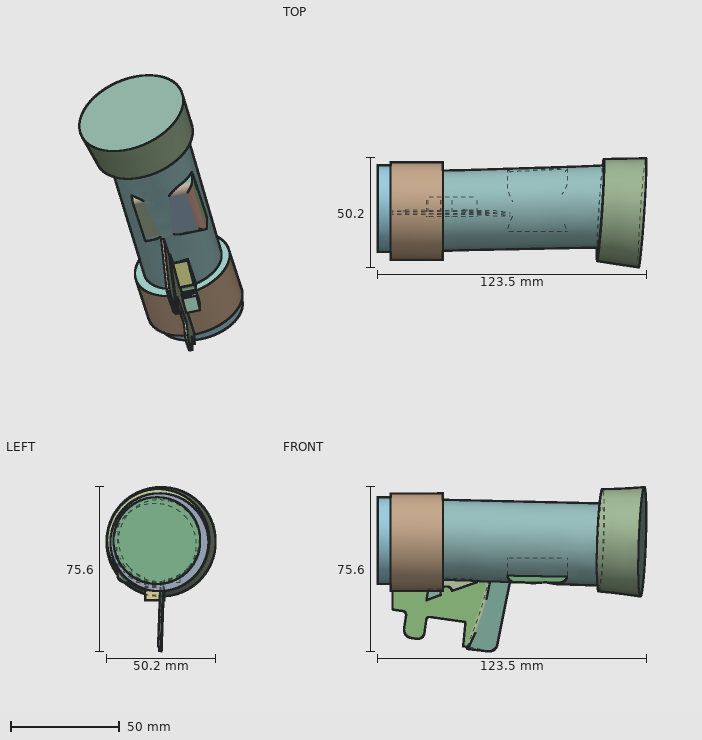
import cadquery as cq
import math

eyepiece_diameter = 39.9
eyepiece_length = 6.0

collar_diameter = 45.0
collar_length = 24.0
collar_offset_y = -1.15
collar_offset_z = -0.75
collar_end_x = eyepiece_length + collar_length

hood_back_diameter = 47.1
hood_front_diameter = 50.36
hood_length = 19.26
hood_back_center = cq.Vector(102.37, -0.65, 0.15)
hood_lean_y = -0.0665
hood_lean_z = -0.036

tube_start_diameter = 37.0
tube_end_diameter = 37.9
tube_start_center = cq.Vector(collar_end_x, -0.95, 0.3)
tube_end_center = cq.Vector(104.0, 0.95, -1.85)
tube_overlap = 3.0

pad_start_x = 59.6
pad_end_x = 87.2
pad_y_min = -10.6
pad_y_max = 18.1
pad_bottom_z = -19.2
pad_top_z = -8.0
pad_rounding = 3.5

wedge_y_min = -3.6
wedge_y_max = 5.4
wedge_top_z = -16.0

blade_top_z = -16.0
blade_hinge_z = -22.5
blade_tilt = 2.0
rear_plate_back_y = -1.4
plate_thickness = 1.3
plate_step = 0.5
rear_plate_front_y = rear_plate_back_y - plate_thickness
front_plate_back_y = rear_plate_back_y - plate_step
front_plate_front_y = rear_plate_front_y - plate_step
plate_overlap = 0.6
rear_plate_start_x = 6.8
front_plate_heel = (54.3, -51.32)
front_plate_heel_radius = 3.9
front_plate_top_end = (61.4, blade_top_z)

step_foot_curve = [(40.5, -48.6), (45.9, -34.5), (50.9, blade_top_z)]
step_crest_curve = [(41.4, -49.8), (47.8, -34.5), (52.1, blade_top_z)]


def frustum(start, end, start_diameter, end_diameter):
    axis = end - start
    cone = cq.Solid.makeCone(start_diameter / 2, end_diameter / 2, axis.Length, start, axis)
    return cq.Workplane(obj=cone)


def x_cylinder(start_x, length, diameter, center_y=0.0, center_z=0.0):
    plane = cq.Workplane("YZ", origin=(start_x, center_y, center_z))
    return plane.circle(diameter / 2).extrude(length)


def xz_plane_at(y):
    """Sketch plane with local X, Y along global X, Z; extrusion runs towards -Y."""
    return cq.Workplane("XZ", origin=(0, y, 0))


def corner_arc(previous, corner, following, radius):
    """Tangent points and arc midpoint of a rounding at a polygon corner."""
    c = cq.Vector(*corner)
    to_previous = (cq.Vector(*previous) - c).normalized()
    to_following = (cq.Vector(*following) - c).normalized()
    half_angle = to_previous.getAngle(to_following) / 2
    tangent_length = radius / math.tan(half_angle)
    bisector = (to_previous + to_following).normalized()
    middle = c + bisector * (radius / math.sin(half_angle) - radius)
    start = c + to_previous * tangent_length
    end = c + to_following * tangent_length
    return [(point.x, point.y) for point in (start, middle, end)]


def rounded_path(sketch, start, corners, end):
    """Draw from start to end, rounding each (point, radius) corner on the way."""
    points = [start] + [point for point, _ in corners] + [end]
    for index, (point, radius) in enumerate(corners):
        arc_start, middle, arc_end = corner_arc(points[index], point, points[index + 2], radius)
        sketch = sketch.lineTo(*arc_start).threePointArc(middle, arc_end)
    return sketch.lineTo(*end)


def make_hood():
    direction = cq.Vector(1, hood_lean_y, hood_lean_z).normalized()
    front_center = hood_back_center + direction * hood_length
    return frustum(hood_back_center, front_center, hood_back_diameter, hood_front_diameter)


def make_tube():
    direction = (tube_end_center - tube_start_center).normalized()
    buried_start = tube_start_center - direction * tube_overlap
    return frustum(buried_start, tube_end_center, tube_start_diameter, tube_end_diameter)


def make_pad():
    pad = cq.Workplane("XY").box(
        pad_end_x - pad_start_x,
        pad_y_max - pad_y_min,
        pad_top_z - pad_bottom_z,
        centered=False,
    )
    pad = pad.translate((pad_start_x, pad_y_min, pad_bottom_z))
    return pad.faces("<Z").edges("not <Y").fillet(pad_rounding)


def make_wedge():
    tip = (22.4, -27.4)
    shoulder = (24.4, wedge_top_z)
    notch_start = (29.1, -24.9)
    notch_middle = (31.7, -21.0)
    notch_end = (34.2, -23.1)
    run_out = (45.6, -19.1)
    outline = xz_plane_at(wedge_y_max).moveTo(*shoulder).lineTo(*tip).lineTo(*notch_start)
    outline = outline.threePointArc(notch_middle, notch_end).lineTo(*run_out)
    outline = outline.lineTo(run_out[0], wedge_top_z).close()
    return outline.extrude(wedge_y_max - wedge_y_min)


def make_rear_plate():
    top_start = (rear_plate_start_x, blade_top_z)
    corners = [
        ((rear_plate_start_x, -31.7), 0.9),
        ((13.3, -32.6), 1.8),
        ((11.5, -44.2), 4.0),
        ((21.1, -45.6), 3.2),
        ((22.6, -34.9), 1.3),
        ((40.3, -37.4), 0.4),
        ((39.2, -48.7), 0.4),
    ]
    step_bottom = step_foot_curve[0]
    bottom, middle, top = [(x + plate_overlap, z) for x, z in step_foot_curve]
    outline = xz_plane_at(rear_plate_back_y).moveTo(*top_start)
    outline = rounded_path(outline, top_start, corners, step_bottom)
    outline = outline.lineTo(*bottom).threePointArc(middle, top).close()
    return outline.extrude(plate_thickness)


def front_outline(y, edge_curve):
    bottom, middle, top = edge_curve
    outline = xz_plane_at(y).moveTo(*bottom)
    heel_corner = (front_plate_heel, front_plate_heel_radius)
    outline = rounded_path(outline, bottom, [heel_corner], front_plate_top_end)
    return outline.lineTo(*top).threePointArc(middle, bottom).close()


def make_front_plate():
    base = front_outline(front_plate_back_y, step_foot_curve)
    base = base.extrude(front_plate_back_y - rear_plate_front_y)
    foot_wire = front_outline(rear_plate_front_y, step_foot_curve).val()
    crest_wire = front_outline(front_plate_front_y, step_crest_curve).val()
    sloped_step = cq.Solid.makeLoft([foot_wire, crest_wire], True)
    return base.union(cq.Workplane(obj=sloped_step))


def make_blade():
    blade = make_rear_plate().union(make_front_plate())
    hinge_start = (0, rear_plate_back_y, blade_hinge_z)
    hinge_end = (1, rear_plate_back_y, blade_hinge_z)
    return blade.rotate(hinge_start, hinge_end, blade_tilt)


eyepiece = x_cylinder(0, eyepiece_length, eyepiece_diameter)
collar = x_cylinder(eyepiece_length, collar_length, collar_diameter, collar_offset_y, collar_offset_z)

result = (
    eyepiece.union(collar)
    .union(make_tube())
    .union(make_hood())
    .union(make_pad())
    .union(make_wedge())
    .union(make_blade())
)